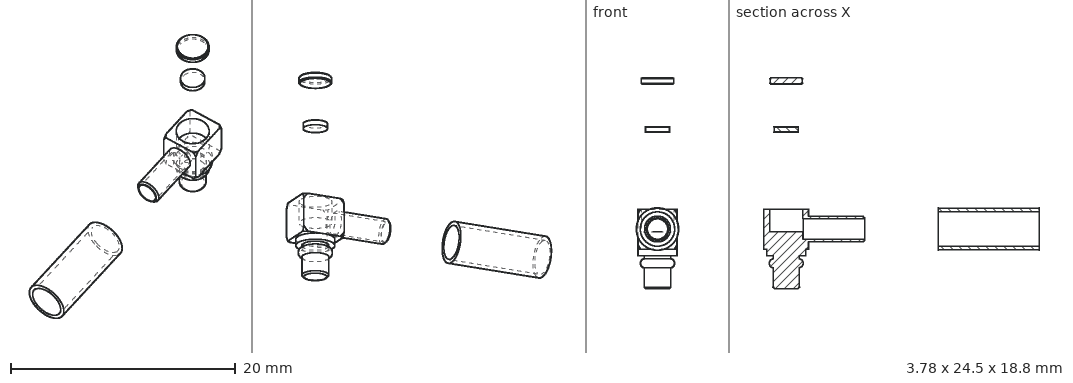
import cadquery as cq

block_width = 3.5
block_length = 4.0
block_top = 1.77
block_bottom = -1.8
corner_circle_radius = 2.4
envelope_radius = 2.72
cone_depth = 0.28

bore_radius = 1.465
bore_depth = 2.0

stem_radius = 1.15
stem_bore_radius = 0.91
stem_tip = -7.0
stem_bore_end = -1.5
stem_chamfer = 0.16

collar_radius = block_width / 2
collar_bottom = -2.38
plug_radius = 1.2
plug_bottom = -5.33
plug_chamfer = 0.17
bead_radius = 1.53
bead_tube_radius = 0.42
bead_height = -3.05

sleeve_radius = 1.89
sleeve_bore_radius = 1.53
sleeve_start = -13.52
sleeve_length = 9.0

cap_radius = bore_radius
cap_thickness = 0.58
cap_top = 13.47
cap_chamfer = 0.1
insert_radius = 1.09
insert_thickness = 0.46
insert_top = 9.09


def cylinder_down(radius, top, height):
    """Cylinder on the Z axis that hangs down from the given height."""
    return cq.Workplane("XY", origin=(0, 0, top)).circle(radius).extrude(-height)


def cylinder_outward(radius, start, length):
    """Cylinder on the Y axis that runs toward -Y from the given place."""
    return cq.Workplane("XZ", origin=(0, start, 0)).circle(radius).extrude(length)


def make_block():
    """Rectangular block whose eight corners are trimmed by cones about the X axis."""
    block_height = block_top - block_bottom
    block_middle = (block_top + block_bottom) / 2
    block = (
        cq.Workplane("XY", origin=(0, 0, block_middle))
        .box(block_width, block_length, block_height)
    )
    trimming_envelope = (
        cq.Workplane("YZ", origin=(0, 0, block_middle))
        .circle(envelope_radius)
        .extrude(block_width / 2, both=True)
        .faces("<X or >X")
        .edges()
        .chamfer(cone_depth, envelope_radius - corner_circle_radius)
    )
    return block.intersect(trimming_envelope)


def make_plug():
    """Collar, plug barrel with a chamfered end, and the rounded snap bead."""
    collar = cylinder_down(collar_radius, 0, -collar_bottom)
    barrel = cylinder_down(plug_radius, 0, -plug_bottom).faces("<Z").chamfer(plug_chamfer)
    bead_centre_radius = bead_radius - bead_tube_radius
    bead = (
        cq.Workplane("XZ")
        .moveTo(0, bead_height - bead_tube_radius)
        .lineTo(bead_centre_radius, bead_height - bead_tube_radius)
        .threePointArc((bead_radius, bead_height), (bead_centre_radius, bead_height + bead_tube_radius))
        .lineTo(0, bead_height + bead_tube_radius)
        .close()
        .revolve(360, (0, 0, 0), (0, 1, 0))
    )
    return collar.union(barrel).union(bead)


def make_housing():
    """Right-angle housing: block, plug and hollow stem, with a blind bore in the top."""
    stem = cylinder_outward(stem_radius, 0, -stem_tip).faces("<Y").chamfer(stem_chamfer)
    stem_bore = cylinder_outward(stem_bore_radius, stem_bore_end, stem_bore_end - stem_tip)
    access_bore = cylinder_down(bore_radius, block_top, bore_depth)
    outside = make_block().union(make_plug()).union(stem)
    return outside.cut(stem_bore).cut(access_bore)


def make_sleeve():
    """Plain crimp tube in line with the stem."""
    tube = cylinder_outward(sleeve_radius, sleeve_start, sleeve_length)
    return tube.cut(cylinder_outward(sleeve_bore_radius, sleeve_start, sleeve_length))


def make_cap():
    """Closing disc with both rims chamfered."""
    return cylinder_down(cap_radius, cap_top, cap_thickness).faces("<Z or >Z").chamfer(cap_chamfer)


def make_insert():
    """Small plain disc between the cap and the housing."""
    return cylinder_down(insert_radius, insert_top, insert_thickness)


housing = make_housing()
sleeve = make_sleeve()
cap = make_cap()
insert = make_insert()

result = cq.Compound.makeCompound([housing.val(), sleeve.val(), cap.val(), insert.val()])